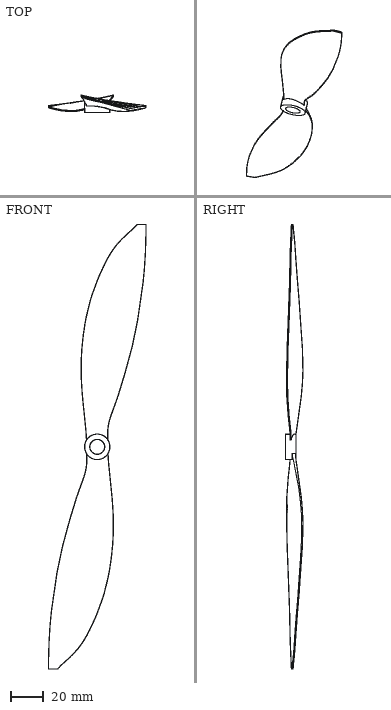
import cadquery as cq


HUB_DIAMETER = 15.6
HUB_HEIGHT = 6.6
BORE_DIAMETER = 9.0

TIP_RADIUS = 136.2
TIP_EDGE_X = 30.0
EDGE_THICKNESS = 0.7
ROOT_EDGE_EXTRA = 1.4
ROOT_FADE_RADIUS = 13.0
CROWN_RATIO = 0.04

BLADE_SECTIONS = [
    (1.0, -6.7, 6.0, 6.5, 2.5),
    (11.0, -7.1, 7.0, 6.6, 2.5),
    (19.0, -7.9, 8.3, 8.4, 1.6),
    (27.5, -8.8, 9.4, 11.5, 0.9),
    (44.0, -9.9, 10.73, 16.7, 0.65),
    (60.0, -9.5, 10.5, 21.1, 0.95),
    (77.0, -7.3, 9.3, 24.7, 1.6),
    (93.0, -3.3, 8.2, 27.2, 2.2),
    (109.5, 3.3, 6.8, 29.0, 2.7),
    (122.0, 10.5, 6.0, 29.7, 2.9),
    (130.0, 17.9, 5.3, 29.9, 3.2),
    (TIP_RADIUS, 24.4, 4.6, TIP_EDGE_X, 3.6),
]


def blade_section(raised_x, raised_y, lowered_x, lowered_y, radius):
    """Flat-faced airfoil with blunt edges, thicker at the root, and an arched back."""
    root_fade = 1 + (radius / ROOT_FADE_RADIUS) ** 2
    raised_thickness = EDGE_THICKNESS + ROOT_EDGE_EXTRA / root_fade
    crown = CROWN_RATIO * (lowered_x - raised_x)
    lowered_back_y = lowered_y + EDGE_THICKNESS
    crown_x = (raised_x + lowered_x) / 2
    crown_y = (raised_y + lowered_back_y) / 2 + crown
    return (
        cq.Workplane("XY", origin=(0, 0, radius))
        .moveTo(raised_x, raised_y)
        .lineTo(raised_x, raised_y - raised_thickness)
        .lineTo(lowered_x, lowered_y)
        .lineTo(lowered_x, lowered_back_y)
        .threePointArc((crown_x, crown_y), (raised_x, raised_y))
        .close()
        .wire()
        .val()
    )


def make_blade():
    """Twisted blade lofted through its sections along +Z."""
    wires = []
    for radius, raised_x, raised_y, lowered_x, lowered_y in BLADE_SECTIONS:
        wires.append(blade_section(raised_x, raised_y, lowered_x, lowered_y, radius))
    return cq.Workplane(cq.Solid.makeLoft(wires))


def hub_cylinder(diameter):
    """Cylinder on the hub axis, rising from the seat face along +Y."""
    return cq.Workplane("XZ").circle(diameter / 2).extrude(-HUB_HEIGHT)


upper_blade = make_blade()
lower_blade = upper_blade.rotate((0, 0, 0), (0, 1, 0), 180)
hub = hub_cylinder(HUB_DIAMETER)
bore = hub_cylinder(BORE_DIAMETER)

result = hub.union(upper_blade).union(lower_blade).cut(bore)